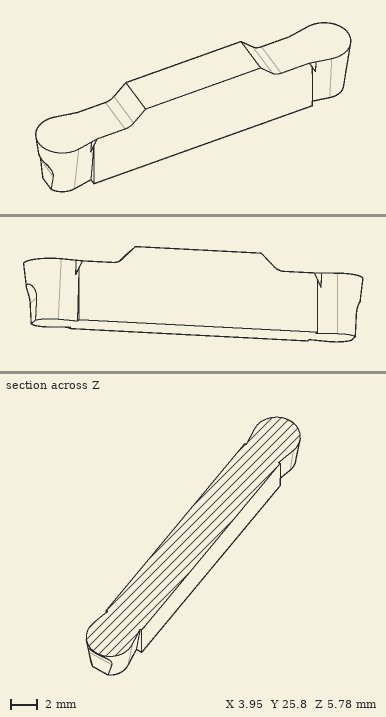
import cadquery as cq
import math

length = 25.8
height = 5.78
body_width = 3.2

step_drop = 1.3
plateau_length = 9.6
ramp_angle = 45.0
step_fillet = 1.0

head_width = 3.95
head_relief_angle = 6.7
flank_angle = 11.0
body_end_inset = 3.8
flank_end_inset = 5.15

shoulder_inset = 3.53
shoulder_length = 0.52
shoulder_depth = 1.08
shoulder_relief_angle = 5.2

flat_inset = 0.7
flat_height = 1.63
flat_blend_height = 1.19
blend_rise = 0.5
cutter_margin = 1.3

head_height = height - step_drop
head_radius = head_width / 2
head_centre_y = length / 2 - head_radius


def make_body():
    """Straight-sided body with a raised plateau and filleted ramps."""
    half_length = length / 2 - body_end_inset
    half_plateau = plateau_length / 2
    ramp_foot = half_plateau + step_drop / math.tan(math.radians(ramp_angle))
    body = (
        cq.Workplane("YZ")
        .polyline([
            (-half_length, 0),
            (half_length, 0),
            (half_length, head_height),
            (ramp_foot, head_height),
            (half_plateau, height),
            (-half_plateau, height),
            (-ramp_foot, head_height),
            (-half_length, head_height),
        ])
        .close()
        .extrude(body_width / 2, both=True)
    )
    ramp_feet = cq.Workplane()
    for foot_y in (-ramp_foot, ramp_foot):
        nearest = cq.selectors.NearestToPointSelector((0, foot_y, head_height))
        ramp_feet = ramp_feet.add(body.edges("|X").edges(nearest))
    return body.newObject(ramp_feet.vals()).fillet(step_fillet)


def flank_half_width(y):
    """Half width between the straight flanks at the top face, at position y."""
    flank = math.radians(flank_angle)
    return head_radius / math.cos(flank) - (head_centre_y - y) * math.tan(flank)


def make_head():
    """Teardrop head at +Y, relieved inward toward the underside."""
    flank = math.radians(flank_angle)
    tangent_x = head_radius * math.cos(flank)
    tangent_y = head_centre_y - head_radius * math.sin(flank)
    root_y = length / 2 - flank_end_inset
    root_x = flank_half_width(root_y)
    return (
        cq.Workplane("XY", origin=(0, 0, head_height))
        .moveTo(-root_x, root_y)
        .lineTo(-tangent_x, tangent_y)
        .threePointArc((0, length / 2), (tangent_x, tangent_y))
        .lineTo(root_x, root_y)
        .close()
        .extrude(-head_height, taper=head_relief_angle)
    )


def make_shoulder():
    """Wedges along both flanks, less relieved than the head, tapering out downward."""
    front_y = length / 2 - shoulder_inset
    root_y = length / 2 - flank_end_inset
    root_x = flank_half_width(root_y)
    tip_x = flank_half_width(head_centre_y)
    flanks = (
        cq.Workplane("XY", origin=(0, 0, head_height))
        .polyline([
            (-root_x, root_y),
            (-tip_x, head_centre_y),
            (tip_x, head_centre_y),
            (root_x, root_y),
        ])
        .close()
        .extrude(-shoulder_depth, taper=shoulder_relief_angle)
    )
    side_wedge = (
        cq.Workplane("YZ")
        .polyline([
            (front_y, head_height),
            (front_y - shoulder_length, head_height),
            (front_y, head_height - shoulder_depth),
        ])
        .close()
        .extrude(head_radius, both=True)
    )
    return flanks.intersect(side_wedge)


def make_tip_cutter():
    """Vertical flat that curves outward, tangent to the flat, below the tip."""
    flat_y = length / 2 - flat_inset
    blend_radius = (blend_rise**2 + flat_blend_height**2) / (2 * blend_rise)
    blend_angle = math.asin(flat_blend_height / blend_radius)
    middle = (
        flat_y + blend_radius * (1 - math.cos(blend_angle / 2)),
        flat_height + blend_radius * math.sin(blend_angle / 2),
    )
    blend_top = (flat_y + blend_rise, flat_height + flat_blend_height)
    outer_y = length / 2 + cutter_margin
    return (
        cq.Workplane("YZ")
        .moveTo(flat_y, -cutter_margin)
        .lineTo(flat_y, flat_height)
        .threePointArc(middle, blend_top)
        .lineTo(outer_y, blend_top[1])
        .lineTo(outer_y, -cutter_margin)
        .close()
        .extrude(head_radius, both=True)
    )


head = make_head().union(make_shoulder()).cut(make_tip_cutter())
result = make_body().union(head).union(head.mirror("XZ"))